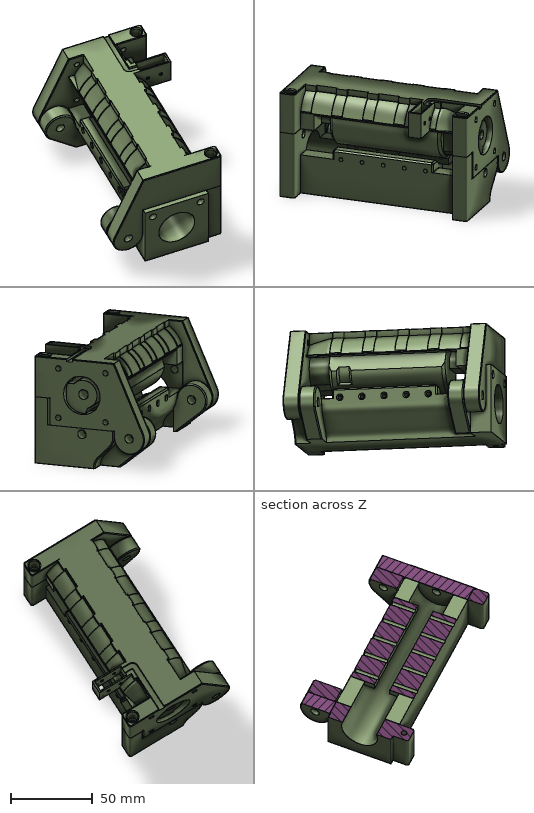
import cadquery as cq
import math

total_length = 126.0
total_height = 67.5
plate_thickness = 10.0
right_plate_outer = 123.0
right_plate_inner = right_plate_outer - plate_thickness
housing_half_width = 21.0
ear_back = 31.2
ear_edge_radius = 1.5
split_height = 41.8
base_height = 24.8
hair = 0.01

axis_z = 45.5
motor_pilot_diameter = 24.0
motor_screw_offset = 15.5
motor_screw_diameter = 3.4
hinge_y = -31.0
hinge_z = 21.0
hinge_radius = 10.0
hinge_hole_diameter = 5.4
hinge_back = hinge_y + hinge_radius
hinge_edge = 0.8
plate_edge = 0.5

cover_bottom = 51.7
lip_height = 0.8
rib_radius = total_height - axis_z
cover_radius = 21.5
taper_start_radius = 18.4
taper_end = 23.0
rib_start = 24.7
rib_pitch = 20.4
rib_width = 7.0
rib_count = 5
cover_half_width = 20.7
deck_front = -11.6
deck_back = 10.8
rib_deck_half_width = 12.3
taper_deck_front = -11.1
chamber_radius = 17.5
bearing_block_start = 104.1
bearing_boss_start = 97.0
bearing_boss_bottom = 42.6
hub_radius = 9.0

channel_front = 6.3
channel_width = 3.7
channel_depth = 1.6
channel_turn_x = 31.0
bracket_start = 28.5
bracket_width = 8.3
bracket_back = 35.3
bracket_front = 13.9
bracket_side_wall = 0.9
bracket_end_wall = 1.3
bracket_hole_diameter = 2.1
bracket_hole_z = 59.5
bracket_hole_ys = (20.0, 28.7)

left_ear_x = plate_thickness / 2
right_ear_x = right_plate_outer - plate_thickness / 2
ear_screw_y = 26.2
ear_sink_diameter = 8.0
ear_bore_diameter = 6.5
ear_clearance_diameter = 4.2
ear_thread_diameter = 3.2
ear_bore_depth = 15.1
ear_thread_depth = 15.1

trough_radius = 12.0
right_screw_diameter = 4.7
right_screw_y = 15.9
right_screw_z = 36.5
base_edge = 0.8
ear_corner_edge = 1.5
right_lug_root_y = -19.0
left_lug_root_y = -8.2
bar_start = 26.2
bar_end = 92.0
bar_top = 30.9
bar_clearance_radius = 21.0
bar_gap_half_width = 5.0
bar_edge = 1.0
bar_hole_count = 5
bar_hole_first_x = 31.1
bar_hole_pitch = 13.9
bar_hole_z = 25.3
bar_hole_diameter = 2.4
bar_sink_diameter = 4.0

drum_start = taper_end
drum_end = 95.8
drum_radius = 17.0
drum_edge = 1.8
flat_angle = 24.0
flat_edge_z = 42.6
hub_start = 2.5
flange_radius = 14.6
flange_step = [(-3.0, 37.8), (-1.3, 33.5), (3.3, 30.9)]
flange_back = 11.2
shaft_diameter = 6.0
shaft_depth = 12.6
pocket_start = 28.0
pocket_length = 9.2
pocket_bottom = 34.4
pocket_angle = 16.0
pocket_depth = 1.4


def box(x, y, z):
    """Box from three (low, high) pairs."""
    sizes = [high - low for low, high in (x, y, z)]
    return cq.Workplane("XY").box(*sizes, centered=False).translate((x[0], y[0], z[0]))


def rod(radius, start, end, y=0.0, z=axis_z):
    """Cylinder along X."""
    return cq.Workplane("YZ", origin=(start, y, z)).circle(radius).extrude(end - start)


def upright(diameter, x, y, low, high):
    """Cylinder along Z."""
    return cq.Workplane("XY", origin=(x, y, low)).circle(diameter / 2).extrude(high - low)


def hinge_point(angle):
    """Point on the hinge circle, angle in radians from +Y towards +Z."""
    return (hinge_y + hinge_radius * math.cos(angle), hinge_z + hinge_radius * math.sin(angle))


def tangent_angle(y, z, side):
    """Angle of the hinge-circle point where a line from (y, z) is tangent."""
    direction = math.atan2(z - hinge_z, y - hinge_y)
    reach = math.hypot(y - hinge_y, z - hinge_z)
    return direction + side * math.acos(hinge_radius / reach)


def side_plate(start, inner_outline, outer_face):
    """Plate with a sloped front edge and a round hinge end, closed by inner_outline."""
    top_angle = tangent_angle(-housing_half_width, total_height, 1)
    plate = (
        cq.Workplane("YZ", origin=(start, 0, 0))
        .moveTo(ear_back, total_height)
        .lineTo(-housing_half_width, total_height)
        .lineTo(*hinge_point(top_angle))
        .threePointArc(hinge_point(1.5 * math.pi), (hinge_back, hinge_z))
    )
    for point in inner_outline:
        plate = plate.lineTo(*point)
    plate = plate.close().extrude(plate_thickness)
    plate = plate.edges("|Z and >Y").fillet(ear_edge_radius)
    plate = plate.faces("<X or >X").edges("not(|Y or |Z)").chamfer(plate_edge)
    plate = plate.faces(outer_face).edges(">Z").chamfer(plate_edge)
    return plate.cut(rod(hinge_hole_diameter / 2, start, start + plate_thickness, hinge_y, hinge_z))


def cover():
    """Ribbed shell over the drum with a flat deck on top."""
    inner_x = (plate_thickness - plate_edge, right_plate_inner + plate_edge)
    taper = (
        cq.Workplane("XY")
        .moveTo(inner_x[0], 0)
        .lineTo(inner_x[0], taper_start_radius)
        .lineTo(taper_end, cover_radius)
        .lineTo(taper_end, 0)
        .close()
        .revolve(360, (0, 0, 0), (1, 0, 0))
        .translate((0, 0, axis_z))
    )
    shell = taper.union(rod(cover_radius, taper_end, inner_x[1]))
    deck_z = (cover_bottom, total_height)
    deck = box((rib_start, inner_x[1]), (deck_front, deck_back), deck_z)
    deck = deck.union(box((inner_x[0], rib_start), (taper_deck_front, deck_back), deck_z))
    rib_deck_y = (-rib_deck_half_width, rib_deck_half_width)
    for index in range(rib_count):
        start = rib_start + index * rib_pitch
        end = min(start + rib_width, inner_x[1])
        shell = shell.union(rod(rib_radius, start, end))
        deck = deck.union(box((start, end), rib_deck_y, deck_z))
    width = (-housing_half_width, housing_half_width)
    shell_top = axis_z + math.sqrt(rib_radius**2 - rib_deck_half_width**2)
    shell_width = (-cover_half_width, cover_half_width)
    shell = shell.intersect(box(inner_x, shell_width, (cover_bottom, shell_top)))
    lip = box(inner_x, width, (cover_bottom, cover_bottom + lip_height))
    return shell.union(deck).union(lip)


def bearing():
    """Block at the right plate with a round boss facing the drum, flat underneath."""
    block = box(
        (bearing_block_start, right_plate_inner + hair),
        (-housing_half_width, housing_half_width),
        (split_height, cover_bottom + hair),
    )
    boss = rod(hub_radius, bearing_boss_start, bearing_block_start + hair)
    room = box(
        (bearing_boss_start, right_plate_inner),
        (-hub_radius, hub_radius),
        (bearing_boss_bottom, total_height),
    )
    return block.union(boss.intersect(room))


def bracket():
    """Outside of the rear bracket and its root in the deck, still solid."""
    return box(
        (bracket_start, bracket_start + bracket_width),
        (deck_back, bracket_back),
        (cover_bottom, total_height),
    )


def bracket_opening():
    """Inside of the bracket, open below only behind the cover, and its cross holes."""
    x = (bracket_start + bracket_side_wall, bracket_start + bracket_width - bracket_side_wall)
    y = (bracket_front + bracket_end_wall, bracket_back - bracket_end_wall)
    floor = cover_bottom + lip_height
    opening = box(x, y, (floor, total_height))
    opening = opening.union(box(x, (housing_half_width, y[1]), (cover_bottom, total_height)))
    for hole_y in bracket_hole_ys:
        opening = opening.union(
            rod(bracket_hole_diameter / 2, bracket_start, x[1] + bracket_side_wall, hole_y, bracket_hole_z)
        )
    return opening


def cable_channel():
    """Groove in the deck from the left plate, turning back into the bracket."""
    turn_end = channel_turn_x + channel_width
    return (
        cq.Workplane("XY", origin=(0, 0, total_height - channel_depth))
        .moveTo(0, channel_front)
        .lineTo(channel_turn_x, channel_front)
        .radiusArc((turn_end, channel_front + channel_width), -channel_width)
        .lineTo(turn_end, bracket_front + bracket_end_wall)
        .lineTo(channel_turn_x, bracket_front + bracket_end_wall)
        .lineTo(channel_turn_x, channel_front + channel_width)
        .lineTo(0, channel_front + channel_width)
        .close()
        .extrude(channel_depth)
    )


def ear_screw_hole(x):
    """Countersunk, counterbored screw hole down through an upper ear."""
    sink_depth = (ear_sink_diameter - ear_bore_diameter) / 2
    bore_bottom = total_height - ear_bore_depth
    sink = (
        cq.Workplane("XY", origin=(x, ear_screw_y, total_height))
        .circle(ear_sink_diameter / 2)
        .workplane(offset=-sink_depth)
        .circle(ear_bore_diameter / 2)
        .loft()
    )
    bore = upright(ear_bore_diameter, x, ear_screw_y, bore_bottom, total_height)
    clearance = upright(ear_clearance_diameter, x, ear_screw_y, split_height, bore_bottom)
    return sink.union(bore).union(clearance)


def motor_holes():
    """Pilot bore and four screw holes through the left plate."""
    holes = rod(motor_pilot_diameter / 2, 0, plate_thickness)
    for y in (-motor_screw_offset, motor_screw_offset):
        for z in (axis_z - motor_screw_offset, axis_z + motor_screw_offset):
            holes = holes.union(rod(motor_screw_diameter / 2, 0, plate_thickness, y, z))
    return holes


def make_upper_housing():
    left_inner = [
        (hinge_back, base_height),
        (housing_half_width, base_height),
        (housing_half_width, split_height),
        (ear_back, split_height),
    ]
    right_inner = [(hinge_back, split_height), (ear_back, split_height)]
    body = cover().union(bracket())
    body = body.cut(rod(chamber_radius, plate_thickness, bearing_block_start))
    body = body.union(bearing())
    body = body.union(side_plate(0, left_inner, "<X"))
    body = body.union(side_plate(right_plate_inner, right_inner, ">X"))
    body = body.cut(bracket_opening())
    body = body.cut(cable_channel())
    body = body.cut(motor_holes())
    for x in (left_ear_x, right_ear_x):
        body = body.cut(ear_screw_hole(x))
    return body


def base_block():
    """Long base whose front curves back below the rim in an S."""
    sweep = hinge_radius * math.sin(math.pi / 4)
    drop = hinge_radius - sweep
    upper_end = (-housing_half_width + drop, hinge_z - sweep)
    run = hinge_z - 2 * sweep
    lower_start = (upper_end[0] + run, upper_end[1] - run)
    block = (
        cq.Workplane("YZ")
        .moveTo(housing_half_width, 0)
        .lineTo(housing_half_width, base_height)
        .lineTo(-housing_half_width, base_height)
        .lineTo(-housing_half_width, hinge_z)
        .radiusArc(upper_end, -hinge_radius)
        .lineTo(*lower_start)
        .radiusArc((lower_start[0] + drop, 0), hinge_radius)
        .close()
        .extrude(right_plate_inner)
    )
    return block.faces("<X").edges("not(|Y or |Z)").chamfer(base_edge)


def lower_lug(start, root_y):
    """Hinge lug next to a side plate, tangent to the base corner below."""
    bottom_angle = tangent_angle(-housing_half_width, 0, -1)
    lug = (
        cq.Workplane("YZ", origin=(start, 0, 0))
        .moveTo(root_y, 0)
        .lineTo(-housing_half_width, 0)
        .lineTo(*hinge_point(bottom_angle))
        .threePointArc(hinge_point(0.75 * math.pi), (hinge_back, hinge_z))
        .lineTo(root_y, hinge_z)
        .close()
        .extrude(plate_thickness)
    )
    lug = lug.faces("<X or >X").edges("not(|Y or |Z)").chamfer(hinge_edge)
    hole = rod(hinge_hole_diameter / 2, start, start + plate_thickness, hinge_y, hinge_z)
    return lug.cut(hole)


def lower_ear(start):
    """Block under an upper ear, rounded at its rear corners."""
    ear = box((start, start + plate_thickness), (housing_half_width, ear_back), (0, split_height))
    return ear.edges("|Z and >Y").fillet(ear_edge_radius)


def ear_corner():
    """Bevel on the outer front corner of the left ear, above the base."""
    return (
        cq.Workplane("XY", origin=(0, housing_half_width, base_height))
        .lineTo(ear_corner_edge, 0)
        .lineTo(0, ear_corner_edge)
        .close()
        .extrude(split_height - base_height)
    )


def rim_bars():
    """Raised bars along both rims, hollowed around the drum."""
    bars = box((bar_start, bar_end), (-housing_half_width, housing_half_width), (hinge_z, bar_top))
    bars = bars.edges("|Z").chamfer(bar_edge)
    bars = bars.faces(">Z").edges().chamfer(bar_edge)
    bars = bars.cut(rod(bar_clearance_radius, bar_start, bar_end))
    gap = (-bar_gap_half_width, bar_gap_half_width)
    return bars.cut(box((bar_start, bar_end), gap, (hinge_z, bar_top)))


def bar_holes():
    """Row of holes through both bars, countersunk at the front."""
    sink_depth = (bar_sink_diameter - bar_hole_diameter) / 2
    holes = cq.Workplane("XY")
    for index in range(bar_hole_count):
        x = bar_hole_first_x + index * bar_hole_pitch
        front = cq.Workplane("XZ", origin=(x, -housing_half_width, bar_hole_z))
        holes = holes.union(front.circle(bar_hole_diameter / 2).extrude(-2 * housing_half_width))
        sink = (
            front.circle(bar_sink_diameter / 2)
            .workplane(offset=-sink_depth)
            .circle(bar_hole_diameter / 2)
            .loft()
        )
        holes = holes.union(sink)
    return holes


def make_lower_housing():
    width = (-housing_half_width, housing_half_width)
    body = base_block()
    for start in (0, right_plate_inner):
        body = body.union(lower_ear(start))
    body = body.union(box((right_plate_inner, total_length), width, (0, split_height)))
    body = body.union(lower_lug(plate_thickness, left_lug_root_y))
    body = body.union(lower_lug(right_plate_inner - plate_thickness, right_lug_root_y))
    body = body.cut(rod(trough_radius, plate_thickness, total_length, 0, hinge_z))
    body = body.union(rim_bars())
    body = body.cut(ear_corner())
    for y in (-right_screw_y, right_screw_y):
        body = body.cut(
            rod(right_screw_diameter / 2, right_plate_inner, total_length, y, right_screw_z)
        )
    body = body.cut(bar_holes())
    body = body.cut(rod(hinge_hole_diameter / 2, 0, plate_thickness, 0, hinge_z))
    left_low = split_height - ear_thread_depth
    body = body.cut(upright(ear_thread_diameter, left_ear_x, ear_screw_y, left_low, split_height))
    return body.cut(upright(ear_thread_diameter, right_ear_x, ear_screw_y, 0, split_height))


def front_of_plane(edge_z, tilt):
    """Space in front of a plane through the barrel surface at edge_z, tilted back from vertical."""
    edge_y = -math.sqrt(drum_radius**2 - (axis_z - edge_z) ** 2)
    size = 3 * drum_radius
    space = box((drum_start, drum_end), (-size, 0), (-size, size))
    return space.rotate((0, 0, 0), (1, 0, 0), -tilt).translate((0, edge_y, edge_z))


def drum_pocket():
    """Shallow groove with sloping sides round the barrel, kept only in front of its lower wall."""
    floor_radius = drum_radius - pocket_depth
    end = pocket_start + pocket_length
    groove = (
        cq.Workplane("XY")
        .moveTo(pocket_start, drum_radius)
        .lineTo(pocket_start + pocket_depth, floor_radius)
        .lineTo(end - pocket_depth, floor_radius)
        .lineTo(end, drum_radius)
        .close()
        .revolve(360, (0, 0, 0), (1, 0, 0))
        .translate((0, 0, axis_z))
    )
    return groove.intersect(front_of_plane(pocket_bottom, pocket_angle))


def drum_hub():
    """Round hub widening to a flange behind, trimmed to the pilot bore inside the plate."""
    hub = rod(hub_radius, hub_start, drum_start + hair)
    flange = rod(flange_radius, hub_start, drum_start + hair)
    outline = (
        cq.Workplane("YZ", origin=(hub_start, 0, 0))
        .polyline(flange_step)
        .lineTo(flange_back, axis_z - flange_radius)
        .lineTo(flange_back, cover_bottom)
        .lineTo(flange_step[0][0], cover_bottom)
        .close()
        .extrude(drum_start + hair - hub_start)
    )
    flange = flange.intersect(outline)
    hub = hub.union(flange)
    room = rod(motor_pilot_diameter / 2, hub_start, plate_thickness)
    return hub.intersect(room.union(rod(flange_radius, plate_thickness, drum_start + hair)))


def make_drum():
    barrel = rod(drum_radius, drum_start, drum_end).edges().chamfer(drum_edge)
    barrel = barrel.cut(front_of_plane(flat_edge_z, flat_angle)).cut(drum_pocket())
    drum = barrel.union(drum_hub())
    return drum.cut(rod(shaft_diameter / 2, hub_start, hub_start + shaft_depth))


upper_housing = make_upper_housing()
lower_housing = make_lower_housing()
drum = make_drum()
result = cq.Compound.makeCompound([upper_housing.val(), lower_housing.val(), drum.val()])